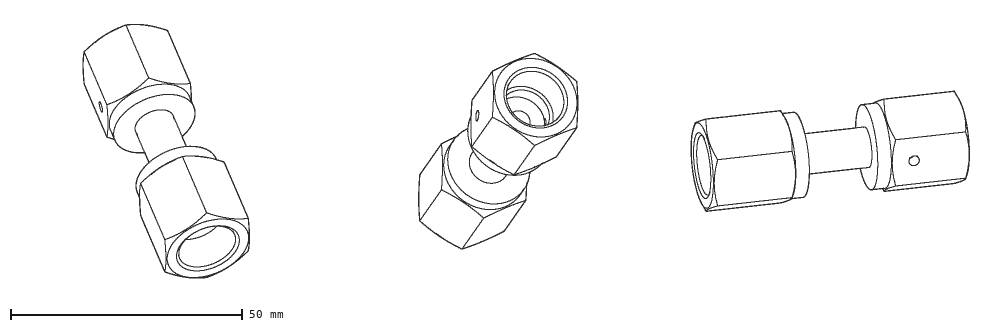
import cadquery as cq
import math

LENGTH = 57.4
HEX_FLATS = 19.05
HEX_CORNERS = HEX_FLATS / math.cos(math.radians(30))
HEX_CHAMFER_ANGLE = 28.0
COLLAR_RADIUS = 9.3
COLLAR_LENGTH = 3.05
NUT_HEX_LENGTH = 17.5
FIXED_HEX_LENGTH = 18.5

SOCKET_RADIUS = 6.5
SOCKET_MOUTH_RADIUS = 7.2
SOCKET_MOUTH_CHAMFER = 0.5
SOCKET_DEPTH = 8.6

WEEP_HOLE_RADIUS = 1.15
WEEP_HOLE_FROM_END = 12.45

TUBE_RADIUS = 4.4
PASSAGE_RADIUS = 2.35
HEAD_RADIUS = 5.6
HEAD_FROM_END = 12.35

NUT_START = -LENGTH / 2
NUT_SOCKET_FLOOR = NUT_START + SOCKET_DEPTH
HEAD_FACE = NUT_START + HEAD_FROM_END
NUT_SHOULDER = NUT_START + NUT_HEX_LENGTH
NUT_END = NUT_SHOULDER + COLLAR_LENGTH
FIXED_END = LENGTH / 2
FIXED_SOCKET_FLOOR = FIXED_END - SOCKET_DEPTH
FIXED_HEX_START = FIXED_END - FIXED_HEX_LENGTH
FIXED_COLLAR_START = FIXED_HEX_START - COLLAR_LENGTH


def cylinder(start, end, radius):
    """Cylinder on the X axis between two stations."""
    return cq.Workplane("YZ", origin=(start, 0, 0)).circle(radius).extrude(end - start)


def chamfered_hex(start, end):
    """Hexagonal bar with corners up and down and conical chamfers at both ends."""
    corner_radius = HEX_CORNERS / 2
    drop = (corner_radius - COLLAR_RADIUS) * math.tan(math.radians(HEX_CHAMFER_ANGLE))
    corners = [
        (corner_radius * math.sin(math.radians(60 * i)), corner_radius * math.cos(math.radians(60 * i)))
        for i in range(6)
    ]
    bar = cq.Workplane("YZ", origin=(start, 0, 0)).polyline(corners).close().extrude(end - start)
    turned_profile = [
        (start, 0),
        (start, COLLAR_RADIUS),
        (start + drop, corner_radius),
        (end - drop, corner_radius),
        (end, COLLAR_RADIUS),
        (end, 0),
    ]
    turned = cq.Workplane("XY").polyline(turned_profile).close().revolve(360, (0, 0, 0), (1, 0, 0))
    return bar.intersect(turned)


def socket(mouth, floor):
    """Cutter for a bore with a chamfer at its mouth."""
    inward = math.copysign(1, floor - mouth)
    profile = [
        (mouth, 0),
        (mouth, SOCKET_MOUTH_RADIUS),
        (mouth + inward * SOCKET_MOUTH_CHAMFER, SOCKET_RADIUS),
        (floor, SOCKET_RADIUS),
        (floor, 0),
    ]
    return cq.Workplane("XY").polyline(profile).close().revolve(360, (0, 0, 0), (1, 0, 0))


def make_loose_nut():
    """Nut that turns on the tube, with a weep hole through two opposite flats."""
    nut = chamfered_hex(NUT_START, NUT_SHOULDER)
    nut = nut.union(cylinder(NUT_SHOULDER, NUT_END, COLLAR_RADIUS))
    nut = nut.cut(socket(NUT_START, NUT_SOCKET_FLOOR))
    nut = nut.cut(cylinder(NUT_SOCKET_FLOOR, NUT_SHOULDER, HEAD_RADIUS))
    nut = nut.cut(cylinder(NUT_SHOULDER, NUT_END, TUBE_RADIUS))
    weep_hole = (
        cq.Workplane("XZ", origin=(NUT_START + WEEP_HOLE_FROM_END, 0, 0))
        .circle(WEEP_HOLE_RADIUS)
        .extrude(HEX_FLATS / 2, both=True)
    )
    return nut.cut(weep_hole)


def make_gland():
    """Tube with a head seated on the nut's shoulder and a fixed hex at the other end."""
    gland = cylinder(HEAD_FACE, NUT_SHOULDER, HEAD_RADIUS)
    gland = gland.union(cylinder(NUT_SHOULDER, FIXED_COLLAR_START, TUBE_RADIUS))
    gland = gland.union(cylinder(FIXED_COLLAR_START, FIXED_HEX_START, COLLAR_RADIUS))
    gland = gland.union(chamfered_hex(FIXED_HEX_START, FIXED_END))
    gland = gland.cut(socket(FIXED_END, FIXED_SOCKET_FLOOR))
    return gland.cut(cylinder(HEAD_FACE, FIXED_END, PASSAGE_RADIUS))


loose_nut = make_loose_nut()
gland = make_gland()
result = cq.Compound.makeCompound([loose_nut.val(), gland.val()])